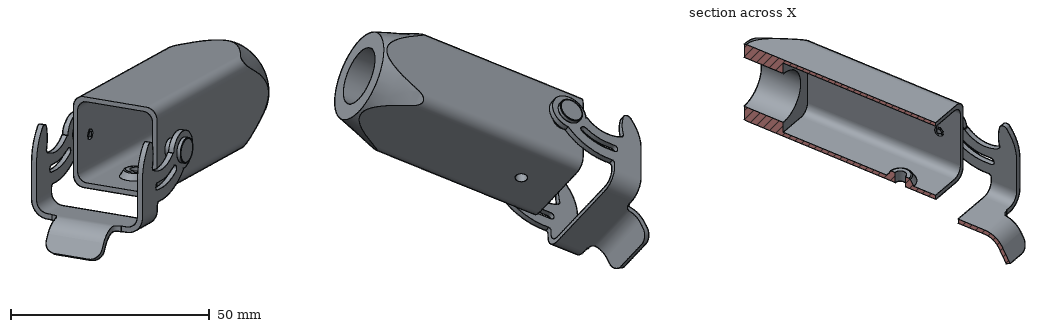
import cadquery as cq
import math


hood_size = 24.0
hood_length = 58.9
hood_corner_radius = 3.0
wall = 1.2
lower_wall = 1.4
cavity_corner_radius = 2.7
cavity_draft = 0.25
end_hole_diameter = 15.1
nose_end_radius = 11.8
nose_length = 12.1

boss_base_radius = 4.2
boss_top_radius = 2.95
boss_height = 1.9
boss_chamfer = 0.25
boss_y = 10.9
boss_hole_diameter = 3.1

pin_y = 6.55
pin_diameter = 4.9
pin_head_diameter = 6.6
pin_head_chamfer_depth = 0.1
pin_head_chamfer_width = 0.25
pin_head_face_x = 17.0
pin_groove_outer_diameter = 2.6
pin_groove_inner_diameter = 1.5
pin_groove_depth = 0.8

sheet = 1.5
lever_half_width = 15.95
lever_bend_radius = 4.6
lever_bottom_z = -16.6
lever_front_y = -14.7
lever_rear_y = -6.9
eye_radius = 5.0
slot_width = 2.0

saddle_rear = (1.2, 0.6)
saddle_low = (-5.1, -2.05)
saddle_front = (-8.8, -1.15)
hook_root_mid = (-9.2, -0.8)
hook_root_top = (-9.5, -0.25)
hook_throat = (-9.1, 2.6)
hook_tip_rear = (-9.4, 5.6)
hook_tip = (-10.5, 6.7)
hook_tip_front = (-11.8, 6.05)
hook_back_mid = (-13.9, 2.3)
hook_back_end = (lever_front_y, -2.05)
heel_bottom = (lever_rear_y, -10.95)
heel_mid = (-6.6, -10.3)
heel_top = (-6.2, -10.05)
belly_mid = (0, -9.3)
belly_rear = (6.9, -5.0)

slot_rear = (2.1, -3.85)
slot_arc_mid = (-0.7, -5.2)
slot_arc_end = (-3.9, -5.9)
slot_front = (-6.8, -5.9)

tab_width = 16.0
tab_start_y = -15.05
tab_tip_y = -22.9
tab_bend_radius = 6.4
tab_angle = 60.0
tab_corner_radius = 3.0
tab_root_radius = 1.3
shelf_front_y = -15.0
shelf_half_width = 10.0


def make_hood():
    """Square tube whose closed end is trimmed by a cone and bored through."""
    corner_reach = hood_size / 2 * math.sqrt(2) - hood_corner_radius * (math.sqrt(2) - 1)
    slope = (corner_reach - nose_end_radius) / nose_length
    mouth_radius = nose_end_radius + slope * hood_length
    cone = (
        cq.Workplane("XY")
        .moveTo(0, 0)
        .lineTo(mouth_radius, 0)
        .lineTo(nose_end_radius, hood_length)
        .lineTo(0, hood_length)
        .close()
        .revolve(360, (0, 0, 0), (0, 1, 0))
    )
    bar = cq.Workplane("XZ").rect(hood_size, hood_size).extrude(-hood_length)
    body = bar.edges("|Y").fillet(hood_corner_radius).intersect(cone)

    mouth_width = hood_size - 2 * wall
    floor_width = mouth_width - 2 * cavity_draft
    cavity_height = hood_size - wall - lower_wall
    cavity_z = (lower_wall - wall) / 2
    cavity_depth = hood_length - nose_length
    mouth = cq.Sketch().rect(mouth_width, cavity_height).vertices().fillet(cavity_corner_radius)
    floor = cq.Sketch().rect(floor_width, cavity_height).vertices().fillet(cavity_corner_radius)
    floor_place = cq.Location(cq.Vector(0, 0, -cavity_depth))
    cavity = cq.Workplane("XZ", origin=(0, 0, cavity_z)).placeSketch(mouth, floor.moved(floor_place)).loft()
    end_hole = cq.Workplane("XZ").circle(end_hole_diameter / 2).extrude(-hood_length)
    return body.cut(cavity).cut(end_hole)


def make_boss():
    """Conical boss, seated halfway into the lower wall so that it merges with the hood."""
    seat_z = (lower_wall - hood_size) / 2
    base_z = lower_wall - hood_size / 2
    top_z = base_z + boss_height
    return (
        cq.Workplane("XZ", origin=(0, boss_y, 0))
        .moveTo(0, seat_z)
        .lineTo(boss_base_radius, seat_z)
        .lineTo(boss_base_radius, base_z)
        .lineTo(boss_top_radius, top_z)
        .lineTo(0, top_z)
        .close()
        .revolve(360, (0, 0, 0), (0, 1, 0))
        .faces(">Z").chamfer(boss_chamfer)
    )


def make_boss_hole():
    """Drilled hole through the boss and the lower wall."""
    drill = cq.Workplane("XY", origin=(0, boss_y, -hood_size / 2))
    return drill.circle(boss_hole_diameter / 2).extrude(lower_wall + boss_height)


def make_pin():
    """Pivot pin on the +X side, from the cavity wall out to its head."""
    inner_x = (hood_size - wall) / 2
    shank = (
        cq.Workplane("YZ", origin=(inner_x, pin_y, 0))
        .circle(pin_diameter / 2)
        .extrude(pin_head_face_x - inner_x)
    )
    head = (
        cq.Workplane("YZ", origin=(lever_half_width, pin_y, 0))
        .circle(pin_head_diameter / 2)
        .extrude(pin_head_face_x - lever_half_width)
        .faces(">X").chamfer(pin_head_chamfer_depth, pin_head_chamfer_width)
    )
    return shank.union(head)


def make_lever_side_profile():
    """Side outline of the lever, extruded across its full width."""
    eye = cq.Workplane("YZ", origin=(0, pin_y, 0)).circle(eye_radius)
    eye = eye.extrude(lever_half_width, both=True)
    arm = (
        cq.Workplane("YZ")
        .moveTo(pin_y, 0)
        .lineTo(*saddle_rear)
        .threePointArc(saddle_low, saddle_front)
        .threePointArc(hook_root_mid, hook_root_top)
        .threePointArc(hook_throat, hook_tip_rear)
        .threePointArc(hook_tip, hook_tip_front)
        .threePointArc(hook_back_mid, hook_back_end)
        .lineTo(lever_front_y, lever_bottom_z)
        .lineTo(lever_rear_y, lever_bottom_z)
        .lineTo(*heel_bottom)
        .threePointArc(heel_mid, heel_top)
        .threePointArc(belly_mid, belly_rear)
        .close()
        .extrude(lever_half_width, both=True)
    )
    return eye.union(arm)


def make_slot():
    """Slot along the arm: an arc that runs out into a short straight."""
    centre_line = (
        cq.Workplane("YZ")
        .moveTo(*slot_rear)
        .threePointArc(slot_arc_mid, slot_arc_end)
        .lineTo(*slot_front)
    )
    return centre_line.offset2D(slot_width / 2).extrude(lever_half_width, both=True)


def make_lever_bracket():
    """U-shaped sheet bracket: two side arms joined by a bottom strip."""
    top_z = -lever_bottom_z
    height = top_z - lever_bottom_z
    width = 2 * lever_half_width
    length = eye_radius + pin_y - lever_front_y

    def bent_block(inset):
        block = cq.Workplane("XY").box(width - 2 * inset, length, height - inset)
        block = block.edges("|Y and <Z").fillet(lever_bend_radius - inset)
        return block.translate((0, lever_front_y + length / 2, (top_z + lever_bottom_z + inset) / 2))

    bracket = bent_block(0).cut(bent_block(sheet))
    return bracket.intersect(make_lever_side_profile()).cut(make_slot())


def make_tab():
    """Thumb tab: a strip that bends down from the bottom strip and ends with round corners."""
    angle = math.radians(tab_angle)
    along = (-math.cos(angle), -math.sin(angle))
    across = (-math.sin(angle), math.cos(angle))
    bend_z = lever_bottom_z + sheet - tab_bend_radius
    straight = (tab_start_y - tab_bend_radius * math.sin(angle) - tab_tip_y) / math.cos(angle)

    def bend_point(radius, turn):
        return (tab_start_y - radius * math.sin(turn), bend_z + radius * math.cos(turn))

    def tip_point(radius):
        y, z = bend_point(radius, angle)
        return (y + straight * along[0], z + straight * along[1])

    def strip(width):
        inner_radius = tab_bend_radius - sheet
        return (
            cq.Workplane("YZ")
            .moveTo(lever_rear_y, lever_bottom_z)
            .lineTo(*bend_point(inner_radius, 0))
            .threePointArc(bend_point(inner_radius, angle / 2), bend_point(inner_radius, angle))
            .lineTo(*tip_point(inner_radius))
            .lineTo(*tip_point(tab_bend_radius))
            .lineTo(*bend_point(tab_bend_radius, angle))
            .threePointArc(bend_point(tab_bend_radius, angle / 2), bend_point(tab_bend_radius, 0))
            .lineTo(lever_rear_y, lever_bottom_z + sheet)
            .close()
            .extrude(width / 2, both=True)
        )

    tip_corners = cq.selectors.ParallelDirSelector(cq.Vector(0, *across))
    tab = strip(tab_width).edges(tip_corners).edges("<Y").fillet(tab_corner_radius)

    root_half_width = tab_width / 2 + tab_root_radius
    root_tip_y = shelf_front_y - tab_root_radius
    root_plan = (
        cq.Workplane("XY", origin=(0, 0, lever_bottom_z - sheet))
        .moveTo(shelf_half_width, lever_rear_y)
        .lineTo(shelf_half_width, shelf_front_y)
        .lineTo(root_half_width, shelf_front_y)
        .radiusArc((tab_width / 2, root_tip_y), -tab_root_radius)
        .lineTo(0, root_tip_y)
        .lineTo(0, lever_rear_y)
        .close()
        .extrude(3 * sheet)
    )
    root_plan = root_plan.union(root_plan.mirror("YZ"))
    return tab.union(strip(2 * shelf_half_width).intersect(root_plan))


def make_pin_groove():
    """Ring groove around the pin end, sunk into the inside of the +X hood wall."""
    cavity_x = hood_size / 2 - wall
    return (
        cq.Workplane("YZ", origin=(cavity_x - cavity_draft, pin_y, 0))
        .circle(pin_groove_outer_diameter / 2)
        .circle(pin_groove_inner_diameter / 2)
        .extrude(cavity_draft + pin_groove_depth)
    )


hood = make_hood().union(make_boss()).cut(make_boss_hole())
lever = make_lever_bracket().union(make_tab())
pin = make_pin()
groove = make_pin_groove()

result = hood.union(lever).union(pin).union(pin.mirror("YZ"))
result = result.cut(groove).cut(groove.mirror("YZ"))